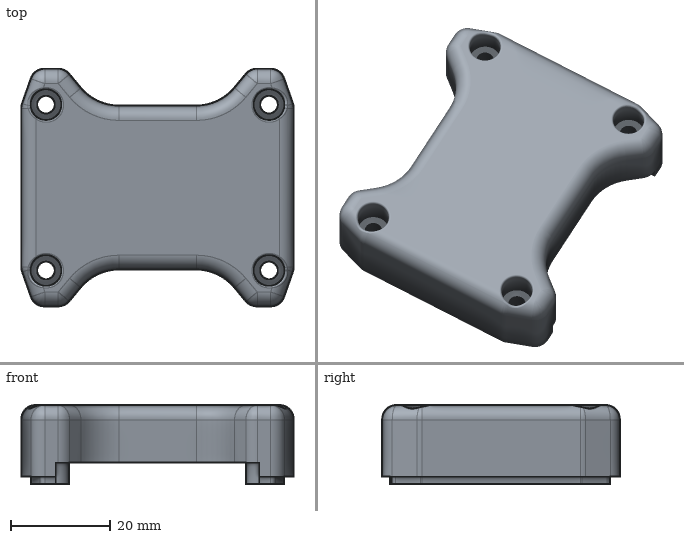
import cadquery as cq

LENGTH = 55.0
WIDTH = 48.0
HEIGHT = 16.0

SIDE_HALF_Y = 16.5
EAR_OUTER_X = 24.85
EAR_INNER_X = 18.7
WAIST_X = 12.5
WAIST_HALF_Y = 16.55
CORNER_RADIUS = 3.0
WAIST_RADIUS = 10.0

TOP_EDGE_RADIUS = 2.95
LIP_HEIGHT = 1.55
LIP_INSET = 2.0

HOLE_X = 22.5
HOLE_Y = 16.7
HOLE_DIAMETER = 3.5
COUNTERBORE_DIAMETER = 6.2
COUNTERBORE_DEPTH = 6.0
COUNTERBORE_EDGE_RADIUS = 0.4

CHANNEL_HALF_WIDTH = 20.5
CHANNEL_HEIGHT = 4.35
POST_X = 20.35
POST_Y = -19.9
POST_RADIUS = 2.55

SELECTION_MARGIN = 0.05

HOLE_CENTERS = [(sx * HOLE_X, sy * HOLE_Y) for sx in (-1, 1) for sy in (-1, 1)]


def outline_points():
    """Sharp corners of the plan outline, in order around the part."""
    quarter = [
        (LENGTH / 2, SIDE_HALF_Y),
        (EAR_OUTER_X, WIDTH / 2),
        (EAR_INNER_X, WIDTH / 2),
        (WAIST_X, WAIST_HALF_Y),
    ]
    upper = quarter + [(-x, y) for x, y in reversed(quarter)]
    return upper + [(x, -y) for x, y in reversed(upper)]


def make_body():
    """Main block above the lip, with rounded corners and a rounded top edge."""
    zone_x = (WAIST_X + EAR_INNER_X) / 2
    body = (
        cq.Workplane("XY", origin=(0, 0, LIP_HEIGHT))
        .polyline(outline_points())
        .close()
        .extrude(HEIGHT - LIP_HEIGHT)
    )
    waist_zone = cq.selectors.BoxSelector((-zone_x, -WIDTH, 0), (zone_x, WIDTH, HEIGHT))
    left_zone = cq.selectors.BoxSelector((-LENGTH, -WIDTH, 0), (-zone_x, WIDTH, HEIGHT))
    right_zone = cq.selectors.BoxSelector((zone_x, -WIDTH, 0), (LENGTH, WIDTH, HEIGHT))
    body = body.edges("|Z").edges(left_zone + right_zone).fillet(CORNER_RADIUS)
    body = body.edges("|Z").edges(waist_zone).fillet(WAIST_RADIUS)
    return body.faces(">Z").edges().fillet(TOP_EDGE_RADIUS)


def make_lip(body):
    """Bottom lip that follows the body outline at a constant inset."""
    return (
        body.faces("<Z")
        .wires()
        .toPending()
        .offset2D(-LIP_INSET)
        .extrude(-LIP_HEIGHT)
    )


def make_channel():
    """Channel space open at both ends in Y."""
    return cq.Workplane("XY").box(
        2 * CHANNEL_HALF_WIDTH, 2 * WIDTH, CHANNEL_HEIGHT, centered=(True, True, False)
    )


def make_posts():
    """Round posts standing in the two -Y corners of the channel."""
    return (
        cq.Workplane("XY")
        .pushPoints([(-POST_X, POST_Y), (POST_X, POST_Y)])
        .circle(POST_RADIUS)
        .extrude(CHANNEL_HEIGHT)
    )


def round_pegs(diameter, bottom):
    """Cylinders at the four screw positions, from a given height up to the top."""
    return (
        cq.Workplane("XY", origin=(0, 0, bottom))
        .pushPoints(HOLE_CENTERS)
        .circle(diameter / 2)
        .extrude(HEIGHT - bottom)
    )


def cut_counterbores(part):
    """Counterbores whose mouths cut into the rounded top edge and are rounded over."""
    seat = HEIGHT - COUNTERBORE_DEPTH
    part = part.cut(round_pegs(COUNTERBORE_DIAMETER, seat))
    reach = COUNTERBORE_DIAMETER / 2 + SELECTION_MARGIN
    for x, y in HOLE_CENTERS:
        mouth = cq.selectors.BoxSelector(
            (x - reach, y - reach, seat + SELECTION_MARGIN),
            (x + reach, y + reach, HEIGHT + SELECTION_MARGIN),
            boundingbox=True,
        )
        part = part.edges("not |Z").edges(mouth).fillet(COUNTERBORE_EDGE_RADIUS)
    return part


body = make_body()
channel = make_channel()
result = body.union(make_lip(body)).cut(channel).union(make_posts().intersect(channel))
result = cut_counterbores(result).cut(round_pegs(HOLE_DIAMETER, 0))